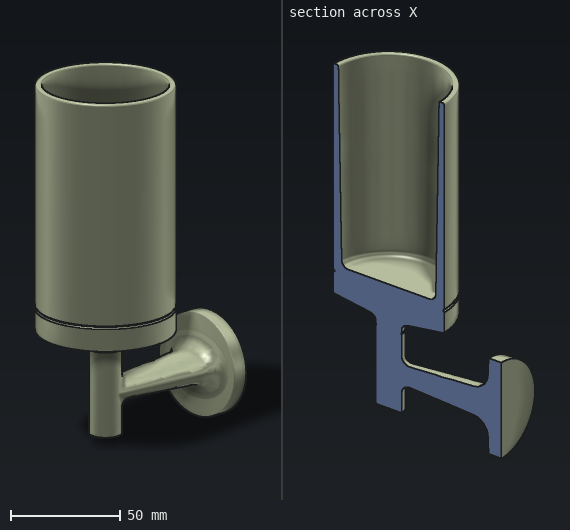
import cadquery as cq
import math


overall_width = 64.9
overall_depth = 98.1
cup_radius = overall_width / 2
axis_y = cup_radius - overall_depth

cup_top = 148.1
rim_wall_thickness = 3.3
floor_wall_thickness = 5.2
rim_round = 1.0
floor_fillet = 3.6
seam_height = 40.8
seam_depth = 0.78
floor_above_seam = 3.5
cup_floor = seam_height + floor_above_seam
dish_edge_height = 29.0
dish_edge_round = 0.9

post_radius = 7.6
post_bottom = -20.0
post_top = 22.5
flare_radius = 13.0
flare_height = 26.5
groove_height = 20.8
groove_width = 0.3
groove_depth = 0.2

plate_radius = 24.9
plate_rim_thickness = 7.6
plate_thickness = 8.3
plate_edge_round = 0.3

arm_root_half_width = 14.5
arm_root_half_height = 8.5
arm_tip_half_width = 7.5
arm_tip_half_height = 4.8
root_fillet = 8.6
post_fillet = 4.3


def add_quarter_round(outline, start, corner, end):
    """Draw a line to start, then a quarter circle that rounds the corner and stops at end."""
    inset = 1 - math.sqrt(0.5)
    middle = tuple(c + inset * (s + e - 2 * c) for s, c, e in zip(start, corner, end))
    return outline.lineTo(*start).threePointArc(middle, end)


def make_cup_and_post():
    """Revolve the post, flare, dish and tumbler as one body about the vertical axis."""
    bore_radius = cup_radius - rim_wall_thickness
    bore_foot_radius = cup_radius - floor_wall_thickness
    dish_bottom_radius = cup_radius - dish_edge_round
    dish_slope = (dish_edge_height - flare_height) / (dish_bottom_radius - flare_radius)

    outline = (
        cq.Workplane("YZ")
        .moveTo(0, post_bottom)
        .lineTo(post_radius, post_bottom)
        .lineTo(post_radius, post_top)
        .spline(
            [(flare_radius, flare_height)],
            tangents=[(0, 1), (1, dish_slope)],
            includeCurrent=True,
        )
    )
    outline = add_quarter_round(
        outline,
        (dish_bottom_radius, dish_edge_height),
        (cup_radius, dish_edge_height),
        (cup_radius, dish_edge_height + dish_edge_round),
    )
    outline = (
        outline.lineTo(cup_radius, seam_height - seam_depth)
        .lineTo(cup_radius - seam_depth, seam_height)
        .lineTo(cup_radius, seam_height + seam_depth)
    )
    outline = add_quarter_round(
        outline,
        (cup_radius, cup_top - rim_round),
        (cup_radius, cup_top),
        (cup_radius - rim_round, cup_top),
    )
    outline = add_quarter_round(
        outline,
        (bore_radius + rim_round, cup_top),
        (bore_radius, cup_top),
        (bore_radius, cup_top - rim_round),
    )
    outline = add_quarter_round(
        outline,
        (bore_foot_radius, cup_floor + floor_fillet),
        (bore_foot_radius, cup_floor),
        (bore_foot_radius - floor_fillet, cup_floor),
    )
    outline = outline.lineTo(0, cup_floor).close()
    return outline.revolve(360, (0, 0), (0, 1)).translate((0, axis_y, 0))


def make_plate():
    """Revolve a disc about the Y axis with a rounded rim and a slightly domed front."""
    dome_rise = plate_thickness - plate_rim_thickness
    dome_radius = (plate_radius**2 + dome_rise**2) / (2 * dome_rise)
    plate = (
        cq.Workplane("XY")
        .lineTo(plate_radius, 0)
        .lineTo(plate_radius, -plate_rim_thickness)
        .radiusArc((0, -plate_thickness), dome_radius)
        .close()
        .revolve(360, (0, 0), (0, 1))
    )
    return plate.faces("%CYLINDER").edges("<Y").fillet(plate_edge_round)


def make_arm():
    """Tapered elliptical arm from the wall to the post axis."""
    return (
        cq.Workplane("XZ")
        .ellipse(arm_root_half_width, arm_root_half_height)
        .workplane(offset=-axis_y)
        .ellipse(arm_tip_half_width, arm_tip_half_height)
        .loft(combine=True)
    )


def make_groove():
    """Ring that cuts the narrow groove around the top of the post."""
    return (
        cq.Workplane("XY", origin=(0, axis_y, groove_height))
        .circle(flare_radius)
        .circle(post_radius - groove_depth)
        .extrude(groove_width)
    )


bracket = make_plate().union(make_arm())
arm_root = cq.selectors.BoxSelector(
    (-arm_root_half_width, -plate_thickness, -arm_root_half_height),
    (arm_root_half_width, -plate_rim_thickness, arm_root_half_height),
)
bracket = bracket.edges(arm_root).fillet(root_fillet)

arm_joint = cq.selectors.BoxSelector(
    (-post_radius, axis_y, -arm_root_half_height),
    (post_radius, axis_y + post_radius, arm_root_half_height),
)
body = bracket.union(make_cup_and_post())
body = body.edges(arm_joint).fillet(post_fillet)
result = body.cut(make_groove())